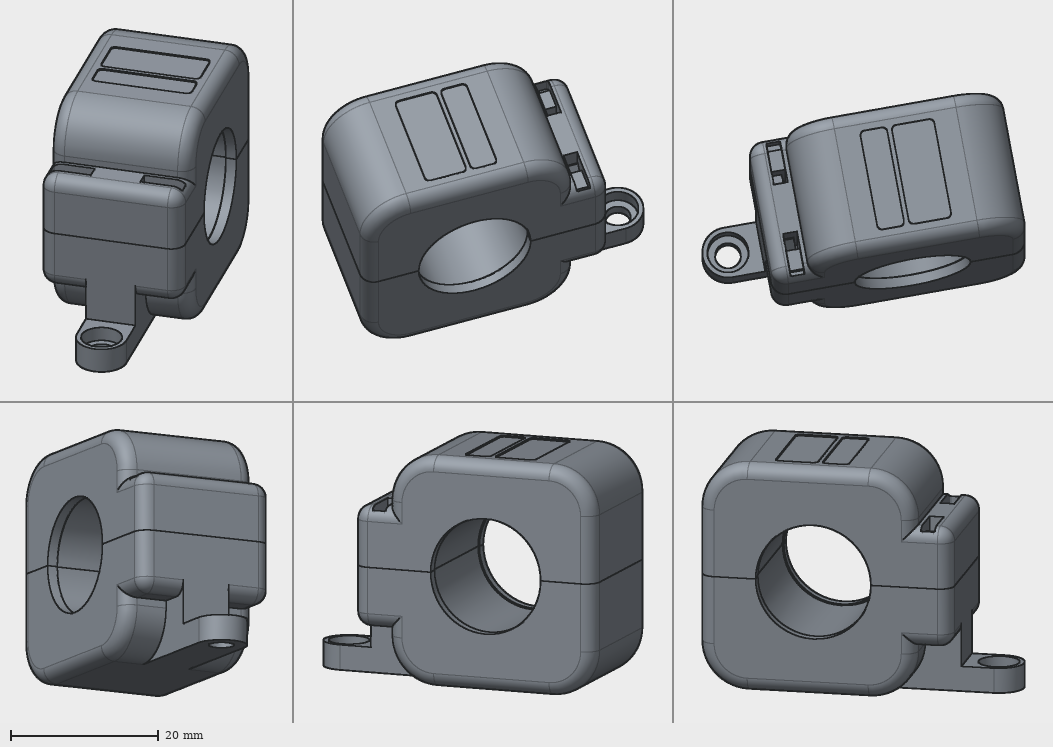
import cadquery as cq
width = 20.0
body_length = 30.0
body_height = 32.0
body_corner_radius = 6.6
edge_radius = 2.0
bore_diameter = 16.0
bore_offset = 0.8
body_center_y = bore_offset
body_back_y = body_center_y + body_length / 2
body_front_y = body_center_y - body_length / 2
body_bottom_z = -body_height / 2
body_top_z = body_height / 2

block_depth = 5.0
block_height = 16.8
block_front_y = body_front_y - block_depth
block_top_z = block_height / 2

foot_width = 7.0
foot_thickness = 3.5
foot_reach = 8.0
foot_hole_diameter = 3.5
counterbore_diameter = 5.6
counterbore_depth = 2.0
foot_tip_y = block_front_y - foot_reach
foot_hole_y = foot_tip_y + foot_width / 2
foot_root_y = body_front_y + body_corner_radius

core_diameter = 25.0
end_wall = 1.5
core_bore_diameter = 16.4
core_length = width - 2 * end_wall

window_inner_x = 3.5
window_outer_x = 9.4
window_front_y = block_front_y + 2.47
window_back_y = block_front_y + 4.4
window_depth = 1.5
window_corner_radius = 0.2
ledge_inner_x = 5.6
ledge_outer_x = 8.45
outer_gap_depth = 2.4

tongue_inner_x = 3.75
tongue_tip_width = 0.15
tongue_back_y = block_front_y + 3.9
tongue_top_z = block_top_z - 2.2
tongue_shoulder_z = block_top_z - 4.2

panel_width = 14.0
panel_corner_radius = 0.675
panel_depth = 0.2
logo_panel_length = 5.85
number_panel_length = 3.7
logo_panel_back_y = body_back_y - 9.85
panel_spacing = 0.65
number_panel_back_y = logo_panel_back_y - logo_panel_length - panel_spacing

SIDES = (-1, 1)


def box(x_range, y_range, z_range):
    """Box between the given limits, in either order along each axis."""
    lows = [min(limits) for limits in (x_range, y_range, z_range)]
    sizes = [abs(limits[1] - limits[0]) for limits in (x_range, y_range, z_range)]
    return cq.Workplane("XY").box(*sizes, centered=False).translate(tuple(lows))


def x_cylinder(diameter, length):
    """Cylinder on the bore axis, centred on X = 0."""
    return cq.Workplane("YZ", origin=(-length / 2, 0, 0)).circle(diameter / 2).extrude(length)


def upper_half(shape):
    """Part of the shape above the split plane."""
    return shape.intersect(box((-width, width), (foot_tip_y, body_back_y), (0, body_top_z)))


def lower_half(shape):
    """Part of the shape below the split plane."""
    return shape.intersect(box((-width, width), (foot_tip_y, body_back_y), (body_bottom_z, 0)))


def make_shell():
    """Rounded body and block in one piece, before splitting."""
    body = (
        cq.Workplane("XY")
        .box(width, body_length, body_height)
        .edges("|X")
        .fillet(body_corner_radius)
        .faces("<X or >X")
        .edges()
        .fillet(edge_radius)
        .translate((0, body_center_y, 0))
    )
    block = box(
        (-width / 2, width / 2), (block_front_y, body_center_y), (-block_top_z, block_top_z)
    )
    block = block.edges("not >Y").fillet(edge_radius)
    return body.union(block)


def make_foot():
    """Web below the block and the rounded screw foot in front of it."""
    half = foot_width / 2
    web = box(
        (-half, half), (block_front_y, foot_root_y), (body_bottom_z, -block_top_z + edge_radius)
    )
    foot = box(
        (-half, half), (foot_hole_y, foot_root_y), (body_bottom_z, body_bottom_z + foot_thickness)
    )
    tip = (
        cq.Workplane("XY", origin=(0, foot_hole_y, body_bottom_z))
        .circle(half)
        .extrude(foot_thickness)
    )
    hole = (
        cq.Workplane("XY", origin=(0, foot_hole_y, body_bottom_z))
        .circle(foot_hole_diameter / 2)
        .extrude(foot_thickness)
    )
    counterbore = (
        cq.Workplane("XY", origin=(0, foot_hole_y, body_bottom_z + foot_thickness))
        .circle(counterbore_diameter / 2)
        .extrude(-counterbore_depth)
    )
    return web.union(foot).union(tip).cut(hole).cut(counterbore)


def hollow(shape):
    """Cut the bore and the seat for the ferrite core."""
    return shape.cut(x_cylinder(bore_diameter, width)).cut(x_cylinder(core_diameter, core_length))


def make_window(side):
    """Opening for one latch: a recess over a ledge, with a through slot on the inside."""
    y_range = (window_front_y, window_back_y)
    recess = box(
        (side * window_inner_x, side * window_outer_x), y_range, (block_top_z - window_depth, block_top_z)
    )
    outer_gap = box(
        (side * ledge_outer_x, side * window_outer_x), y_range, (block_top_z - outer_gap_depth, block_top_z)
    )
    slot = box((side * window_inner_x, side * ledge_inner_x), y_range, (0, block_top_z))
    outer_corners = "|Z and >X" if side > 0 else "|Z and <X"
    return (
        recess.union(outer_gap)
        .edges(outer_corners)
        .fillet(window_corner_radius)
        .union(slot)
    )


def make_tongue(side):
    """Latch tongue with a sloped outer top, rooted on the split plane."""
    outline = [
        (side * tongue_inner_x, 0),
        (side * ledge_inner_x, 0),
        (side * ledge_inner_x, tongue_shoulder_z),
        (side * (tongue_inner_x + tongue_tip_width), tongue_top_z),
        (side * tongue_inner_x, tongue_top_z),
    ]
    return (
        cq.Workplane("XZ", origin=(0, window_front_y, 0))
        .polyline(outline)
        .close()
        .extrude(window_front_y - tongue_back_y)
    )


def make_panel(back_y, length):
    """Shallow rounded recess in the top face."""
    return (
        cq.Workplane("XY", origin=(0, back_y - length / 2, body_top_z))
        .rect(panel_width, length)
        .extrude(-panel_depth)
        .edges("|Z")
        .fillet(panel_corner_radius)
    )


def make_upper_housing(shell):
    housing = upper_half(hollow(shell))
    for side in SIDES:
        housing = housing.cut(make_window(side))
    housing = housing.cut(make_panel(logo_panel_back_y, logo_panel_length))
    return housing.cut(make_panel(number_panel_back_y, number_panel_length))


def make_lower_housing(shell):
    housing = lower_half(hollow(shell.union(make_foot())))
    for side in SIDES:
        housing = housing.union(make_tongue(side))
    return housing


def make_core():
    """Ferrite ring, before splitting into its two halves."""
    return x_cylinder(core_diameter, core_length).cut(x_cylinder(core_bore_diameter, core_length))


shell = make_shell()
core = make_core()
upper_housing = make_upper_housing(shell)
lower_housing = make_lower_housing(shell)
upper_core = upper_half(core)
lower_core = lower_half(core)

result = cq.Compound.makeCompound(
    [upper_housing.val(), lower_housing.val(), upper_core.val(), lower_core.val()]
)